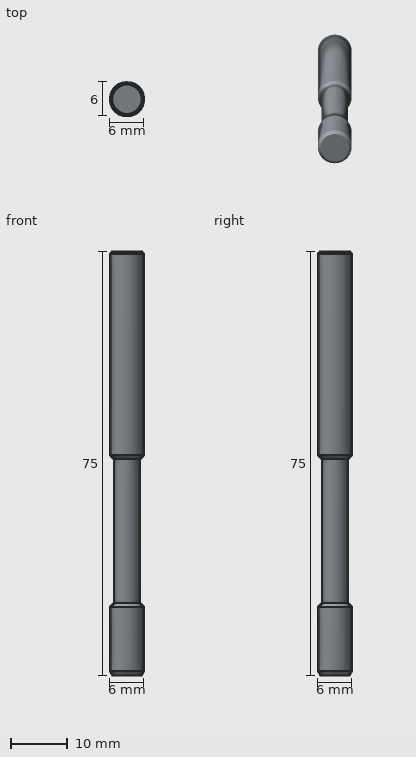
import cadquery as cq

total_length = 75.0
outer_radius = 3.0
neck_radius = 2.3

head_top = 12.8
shank_bottom = 38.3

tip_chamfer_height = 0.8
tip_chamfer_width = 0.49
shank_end_chamfer = 0.4
shoulder_chamfer = outer_radius - neck_radius


def cutting_head():
    """Full-diameter head, chamfered at the tip and tapered down to the neck radius."""
    head = cq.Workplane("XY").circle(outer_radius).extrude(head_top)
    head = head.faces("<Z").chamfer(tip_chamfer_height, tip_chamfer_width)
    return head.faces(">Z").chamfer(shoulder_chamfer)


def shank_with_neck():
    """Cylindrical shank and the slimmer neck that joins it to the head."""
    shank = (
        cq.Workplane("XY", origin=(0, 0, shank_bottom))
        .circle(outer_radius)
        .extrude(total_length - shank_bottom)
    )
    shank = shank.faces(">Z").chamfer(shank_end_chamfer)
    shank = shank.faces("<Z").chamfer(shoulder_chamfer)
    neck = (
        cq.Workplane("XY", origin=(0, 0, head_top))
        .circle(neck_radius)
        .extrude(shank_bottom - head_top)
    )
    return shank.union(neck)


head = cutting_head()
shank = shank_with_neck()

result = cq.Compound.makeCompound([head.val(), shank.val()])